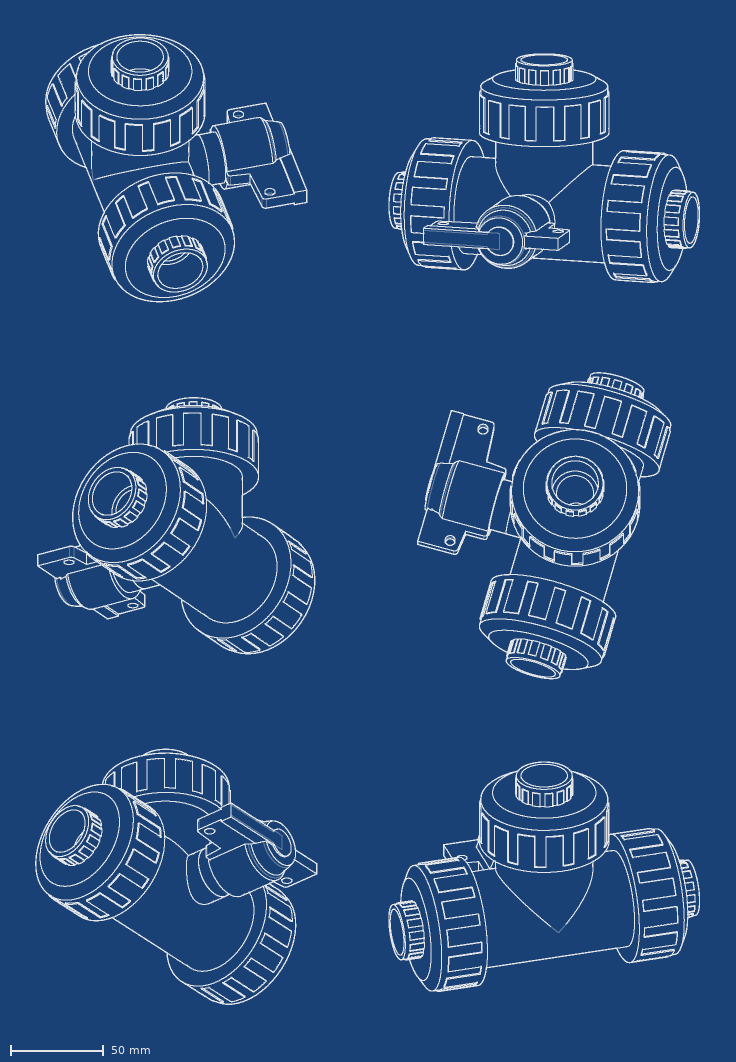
import cadquery as cq
import math


port_reach = 83.0
body_diameter = 52.5
bore_diameter = 20.0
socket_diameter = 25.0
socket_depth = 20.0

nut_diameter = 70.0
nut_groove_diameter = 68.5
nut_front_diameter = 55.8
nut_back = 42.8
nut_groove_start = 45.8
nut_groove_end = 64.5
nut_cone_start = 68.4
nut_front = 72.4

spigot_diameter = 30.2
spigot_rib_diameter = 31.2
spigot_groove_end = 80.3

groove_count = 14
groove_pitch = 360 / groove_count
groove_angle = 10.0
first_groove_angle = -90.0

stem_diameter = 28.0
collar_diameter = 28.2
collar_end = 34.7
stem_end = 56.8

hub_bottom = 44.0
hub_radius = 17.5
hub_shoulder_start = 69.5
hub_bevel_radius = 16.5
hub_bevel_end = 71.0
hub_neck_radius = 15.3
hub_neck_start = 72.0
hub_top_radius = 13.5
hub_taper_end = 79.0
hub_face_radius = 12.8
hub_face = 80.5
boss_diameter = 15.6
handle_end = 81.5

plate_thickness = 6.6
plate_left = -32.4
plate_right = 42.8
plate_left_top = hub_taper_end
wing_corner_height = 57.1
wing_root_height = 55.6
left_root = -20.0
right_root = 20.8
right_foot = 19.6
wing_corner_radius = 2.0
foot_corner_radius = 1.3
hole_diameter = 5.5
hole_height = 62.2
left_hole = -27.2
right_hole = 37.7

slot_width = 8.6
slot_end = 76.4
rail_bottom = 74.5
rail_thickness = 9.0


def rod(plane, diameter, start, end):
    """Cylinder along the plane's normal between two distances from the origin."""
    return cq.Workplane(plane).workplane(offset=start).circle(diameter / 2).extrude(end - start)


def grip_sleeve(diameter, groove_floor, start, groove_start, end):
    """Solid sleeve about Z with grip grooves that run out through its far end."""
    clearance = 1.7
    side = diameter
    half_width = side * math.tan(math.radians(groove_angle / 2))
    wedge = (
        cq.Workplane("XY")
        .workplane(offset=groove_start)
        .polyline([(0, 0), (side, -half_width), (side, half_width)])
        .close()
        .extrude(end + clearance - groove_start)
    )
    floor = rod("XY", groove_floor, start, end + 2 * clearance)
    sleeve = rod("XY", diameter, start, end)
    for index in range(groove_count):
        turn = first_groove_angle + groove_angle / 2 + index * groove_pitch
        cutter = wedge.rotate((0, 0, 0), (0, 0, 1), turn).cut(floor)
        sleeve = sleeve.cut(cutter)
    return sleeve


def union_end():
    """Pipe arm with its nut and spigot, pointing up along Z."""
    nut = grip_sleeve(nut_diameter, nut_groove_diameter, nut_back, nut_groove_start, nut_groove_end)
    cone_length = nut_front - nut_cone_start
    cone_depth = (nut_groove_diameter - nut_front_diameter) / 2
    nut_nose = rod("XY", nut_groove_diameter, nut_groove_end, nut_front)
    nut_nose = nut_nose.faces(">Z").chamfer(cone_length, cone_depth)
    spigot = grip_sleeve(spigot_rib_diameter, spigot_diameter, nut_back, nut_cone_start, spigot_groove_end)
    spigot = spigot.union(rod("XY", spigot_diameter, spigot_groove_end, port_reach))
    return nut.union(nut_nose).union(spigot)


def pipe_body():
    """Plain tee: run along X and branch up Z."""
    run = rod("YZ", body_diameter, -nut_front, nut_front)
    return run.union(rod("XY", body_diameter, 0, nut_front))


def passages():
    """T-shaped bore with a wider socket at every port."""
    socket_start = port_reach - socket_depth
    bores = rod("YZ", bore_diameter, -port_reach, port_reach)
    bores = bores.union(rod("XY", bore_diameter, 0, port_reach))
    bores = bores.union(rod("XY", socket_diameter, socket_start, port_reach))
    bores = bores.union(rod("YZ", socket_diameter, socket_start, port_reach))
    return bores.union(rod("YZ", socket_diameter, -port_reach, -socket_start))


def valve_stem():
    """Solid stem and collar along +Y, starting inside the body wall above the bore."""
    start = (bore_diameter + body_diameter) / 4
    stem = rod("XZ", stem_diameter, -stem_end, -start)
    return stem.union(rod("XZ", collar_diameter, -collar_end, -start))


def hub():
    """Turned cap on the stem, slotted to take the handle plate."""
    cap = (
        cq.Workplane("XY")
        .moveTo(0, hub_bottom)
        .lineTo(hub_radius, hub_bottom)
        .lineTo(hub_radius, hub_shoulder_start)
        .lineTo(hub_bevel_radius, hub_bevel_end)
        .lineTo(hub_neck_radius, hub_neck_start)
        .lineTo(hub_top_radius, hub_taper_end)
        .lineTo(hub_face_radius, hub_face)
        .lineTo(0, hub_face)
        .close()
        .revolve(360, (0, 0, 0), (0, 1, 0))
    )
    slot = (
        cq.Workplane("XY")
        .box(2 * hub_radius, slot_end - hub_bottom, slot_width)
        .translate((0, (slot_end + hub_bottom) / 2, 0))
    )
    return cap.cut(slot).union(rod("XZ", boss_diameter, -handle_end, -hub_taper_end))


def handle_plate():
    """Flat two-winged plate with a hole in each wing."""
    wing_corners = (
        (plate_left, wing_corner_height),
        (plate_right, wing_corner_height),
    )
    foot_corners = (
        (left_root, hub_bottom),
        (right_foot, hub_bottom),
    )
    outline = [
        (plate_left, plate_left_top),
        wing_corners[0],
        (left_root, wing_root_height),
        foot_corners[0],
        foot_corners[1],
        (right_root, wing_root_height),
        wing_corners[1],
        (plate_right, handle_end),
        (0, handle_end),
        (0, plate_left_top),
    ]
    plate = cq.Workplane("XY").polyline(outline).close().extrude(plate_thickness / 2, both=True)
    for corners, radius in ((wing_corners, wing_corner_radius), (foot_corners, foot_corner_radius)):
        for x, y in corners:
            plate = plate.edges(cq.selectors.NearestToPointSelector((x, y, 0))).fillet(radius)
    holes = (
        cq.Workplane("XY")
        .pushPoints([(left_hole, hole_height), (right_hole, hole_height)])
        .circle(hole_diameter / 2)
        .extrude(plate_thickness, both=True)
    )
    return plate.cut(holes)


def rail():
    """Thicker rib along the outer edge of the long wing."""
    return (
        cq.Workplane("XY")
        .box(plate_right, handle_end - rail_bottom, rail_thickness)
        .translate((plate_right / 2, (handle_end + rail_bottom) / 2, 0))
    )


branch_end = union_end()
result = pipe_body().union(branch_end)
for turn in (90, -90):
    result = result.union(branch_end.rotate((0, 0, 0), (0, 1, 0), turn))
result = result.cut(passages())
for piece in (valve_stem(), hub(), handle_plate(), rail()):
    result = result.union(piece)